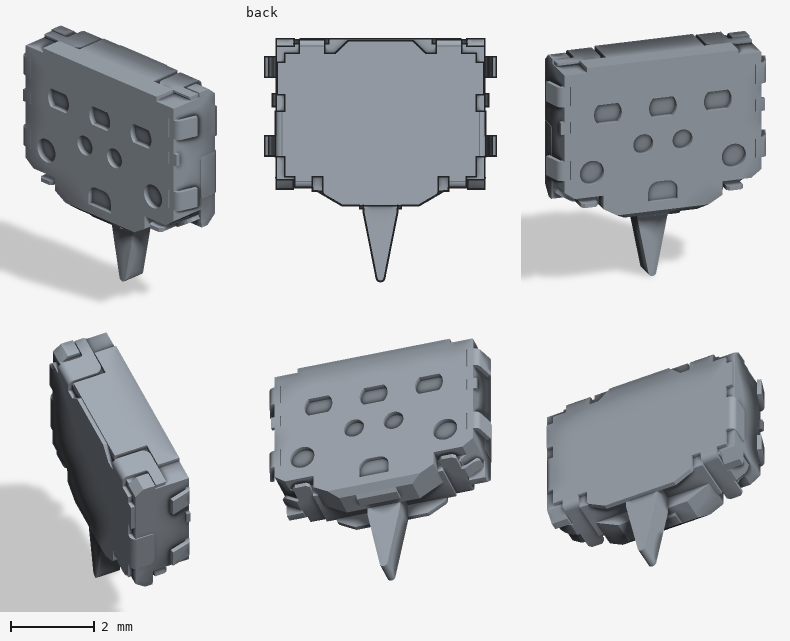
import cadquery as cq
import math


half_width = 2.5
housing_depth = 1.4
total_depth = 1.5
sheet = 0.1
corner_z = -3.115
shelf_x = 2.09
shelf_end_z = -3.42
front_shelf_z = -3.31
front_layer = 0.335
neck_x_front = 1.51
neck_x = 1.635
neck_z = -3.655
nose_x = 0.92
nose_z = -4.0
nose_chamfer_y = 0.165
nose_chamfer_z = 0.145
rear_block_y = 0.935
rear_block_z = -3.605
rear_taper_y, rear_taper_z = 0.02, 0.13
lower_rear_chamfer_y = 0.25
top_rear_chamfer_y = 0.21
lower_rear_chamfer_z = 0.22
top_rear_chamfer_z = 0.18

lever_y0, lever_y1 = 0.77, 1.38
lever_half_width = 0.41
lever_straight_z = -4.16
lever_tip_z = -5.82
lever_tip_radius = 0.1
step_half_width = 0.5
step_y0, step_y1 = 0.245, 0.53
step_taper = 0.025
step_z = -4.08

pocket_depth = 0.15
slot_pitch = 1.394
slot_z = -1.228
slot_diameter = 0.705
slot_height = 0.49
small_hole_x, small_hole_z, small_hole_diameter = 0.498, -2.115, 0.505
large_hole_x, large_hole_z, large_hole_diameter = 1.8, -2.69, 0.61
arch_half_width = 0.373
arch_top_z, arch_bottom_z = -3.115, -3.62
arch_radius = 0.25
arch_depth = 0.12

terminal_z_ranges = [(-0.93, -0.43), (-2.815, -2.325)]
terminal_tip_x = 2.78
terminal_tip_y = 0.56
terminal_lean = math.radians(16)
terminal_bend_radius = 0.16
tab_z0, tab_z1 = -1.63, -1.32
tab_x = 2.59
slit_x, slit_width, slit_depth = 2.345, 0.03, 0.05

cover_x = 2.3
cover_pad_x = 2.47
cover_top_z = -0.35
top_pad_z = -0.05
cover_neck_x = 1.39
cover_neck_radius = 0.13
cover_bottom_z = -3.31
pad_z0, pad_z1 = -1.35, -0.565
top_pad_half_width = 0.78
top_pad_slope = 0.31
clamp_x = 2.52
clamp_y = 0.915
clamp_z0, clamp_z1 = -2.83, -1.735
clamp_corner_radius = 0.08
bend_radius = 0.15

recess_depth = 0.125
front_notch_x = 1.92
recess_y = 0.56
recess_x0, recess_x1 = 1.245, 2.07
arm_recess_y = 0.88
clip_x0, clip_x1 = 1.335, 1.947
clip_z = -0.02
arm_y0, arm_y1 = 0.58, 0.85
arm_x = 2.47
arm_bevel_y, arm_bevel_z = 0.04, 0.05
clip_round = 0.2
arm_round = 0.07
arm_tip_round = 0.035

tongue_x1 = 2.05
tongue_z0 = -3.571
tongue_z1 = tongue_z0 + sheet
shelf_z = tongue_z1
tongue_chamfer = 0.07
hook_angle = math.radians(31)
hook_root_x = 2.12
hook_length = 0.45
hook_y0, hook_y1 = 0.52, 0.885
hook_chamfer = 0.12
hook_bevel = 0.05

overlap = 0.02


def box(x0, x1, y0, y1, z0, z1):
    return cq.Workplane("XY").box(x1 - x0, y1 - y0, z1 - z0, centered=False).translate((x0, y0, z0))


def slab(points, y0, y1):
    """Extrude an (x, z) outline from y0 to y1."""
    return cq.Workplane("XZ", origin=(0, y0, 0)).polyline(points).close().extrude(y0 - y1)


def plate(points, z0, z1):
    """Extrude an (x, y) outline from z0 to z1."""
    return cq.Workplane("XY", origin=(0, 0, z0)).polyline(points).close().extrude(z1 - z0)


def bar(points, x0, x1):
    """Extrude a (y, z) outline from x0 to x1."""
    return cq.Workplane("YZ", origin=(x0, 0, 0)).polyline(points).close().extrude(x1 - x0)


def both_sides(shape):
    return shape.union(shape.mirror("YZ"))


def symmetric(points):
    """Complete an outline given from the top centre to the bottom centre on the +X side."""
    return points + [(-x, z) for x, z in reversed(points)]


def housing():
    side = [(half_width, 0), (half_width, corner_z)]
    nose = [(neck_x_front, neck_z), (nose_x, nose_z)]
    chamfer_slope = (corner_z - shelf_end_z) / (half_width - shelf_x)
    front_shelf_x = half_width - (corner_z - front_shelf_z) / chamfer_slope
    front_outline = side + [(front_shelf_x, front_shelf_z), (neck_x_front, front_shelf_z)] + nose
    shelf = [(shelf_x, shelf_z), (neck_x, shelf_z), (neck_x, neck_z)]
    middle_outline = side + [(shelf_x, shelf_end_z)] + shelf + nose
    rear_outline = [
        (half_width, 0),
        (half_width, rear_block_z),
        (shelf_x, rear_block_z),
    ] + shelf
    body = slab(symmetric(front_outline), 0, front_layer)
    body = body.union(slab(symmetric(middle_outline), front_layer, rear_block_y))
    body = body.union(slab(symmetric(rear_outline), rear_block_y, housing_depth))
    lever_slot = box(-half_width, half_width, lever_y0, housing_depth, nose_z, neck_z)
    body = body.cut(lever_slot)

    nose_chamfer = bar(
        [(0, nose_z), (nose_chamfer_y, nose_z), (0, nose_z + nose_chamfer_z)], -half_width, half_width
    )
    lower_chamfer = bar(
        [
            (housing_depth, rear_block_z),
            (housing_depth, rear_block_z + lower_rear_chamfer_z),
            (housing_depth - lower_rear_chamfer_y, rear_block_z),
        ],
        shelf_x, half_width,
    )
    top_chamfer = bar(
        [(housing_depth, 0), (housing_depth, -top_rear_chamfer_z), (housing_depth - top_rear_chamfer_y, 0)],
        recess_x1, half_width,
    )
    rear_taper = bar(
        [
            (rear_block_y, rear_block_z),
            (rear_block_y, rear_block_z + rear_taper_z),
            (rear_block_y + rear_taper_y, rear_block_z),
        ],
        shelf_x, half_width,
    )
    body = body.cut(nose_chamfer).cut(both_sides(rear_taper))
    return body.cut(both_sides(lower_chamfer)).cut(both_sides(top_chamfer))


def top_recesses():
    notch = box(front_notch_x, half_width, 0, recess_y, -recess_depth, 0)
    stem = box(recess_x0, recess_x1, recess_y, housing_depth, -recess_depth, 0)
    arm = box(recess_x0, half_width, recess_y, arm_recess_y, -recess_depth, 0)
    return both_sides(notch.union(stem).union(arm))


def front_pockets():
    front = cq.Workplane("XZ")
    slots = front.pushPoints([(i * slot_pitch, slot_z) for i in (-1, 0, 1)])
    slots = slots.circle(slot_diameter / 2).extrude(-pocket_depth)
    slot_limit = box(
        -half_width, half_width, 0, pocket_depth, slot_z - slot_height / 2, slot_z + slot_height / 2
    )
    pockets = slots.intersect(slot_limit)
    for x, z, diameter in (
        (small_hole_x, small_hole_z, small_hole_diameter),
        (large_hole_x, large_hole_z, large_hole_diameter),
    ):
        holes = front.pushPoints([(-x, z), (x, z)]).circle(diameter / 2).extrude(-pocket_depth)
        pockets = pockets.union(holes)
    arch = box(-arch_half_width, arch_half_width, 0, arch_depth, arch_bottom_z, arch_top_z)
    arch = arch.edges("|Y and >Z").fillet(arch_radius)
    return pockets.union(arch)


def slits():
    cuts = cq.Workplane("XY")
    for z0, z1 in terminal_z_ranges + [(tab_z0, tab_z1)]:
        cuts = cuts.add(box(slit_x - slit_width / 2, slit_x + slit_width / 2, 0, slit_depth, z0, z1))
    return both_sides(cuts.combine())


def terminal(z0, z1):
    """Flat lead leaving the housing at the front face and bent back along its side."""
    root_x = half_width - overlap
    lean_x = math.sin(terminal_lean)
    lean_y = math.cos(terminal_lean)
    outer_tip_y = terminal_tip_y - sheet * lean_x
    inner_tip_x = terminal_tip_x - sheet * lean_y
    outer_corner_x = terminal_tip_x - outer_tip_y * math.tan(terminal_lean)
    inner_corner_x = inner_tip_x - (terminal_tip_y - sheet) * math.tan(terminal_lean)
    lead = plate(
        [
            (root_x, 0),
            (outer_corner_x, 0),
            (terminal_tip_x, outer_tip_y),
            (inner_tip_x, terminal_tip_y),
            (inner_corner_x, sheet),
            (root_x, sheet),
        ],
        z0, z1,
    )
    middle_z = (z0 + z1) / 2
    outer_corner = cq.selectors.NearestToPointSelector((outer_corner_x, 0, middle_z))
    inner_corner = cq.selectors.NearestToPointSelector((inner_corner_x, sheet, middle_z))
    lead = lead.edges(outer_corner).fillet(terminal_bend_radius)
    return lead.edges(inner_corner).fillet(terminal_bend_radius - sheet)


def terminals_and_tabs():
    side = box(half_width - overlap, tab_x, 0, sheet, tab_z0, tab_z1)
    for z0, z1 in terminal_z_ranges:
        side = side.union(terminal(z0, z1))
    return both_sides(side)


def cover():
    nose_slope = (neck_z - nose_z) / (neck_x_front - nose_x)
    cover_neck_z = neck_z - (neck_x_front - cover_neck_x) * nose_slope
    outline = [
        (top_pad_half_width, top_pad_z),
        (top_pad_half_width + top_pad_slope, cover_top_z),
        (cover_x, cover_top_z),
        (cover_x, pad_z1),
        (cover_pad_x, pad_z1),
        (cover_pad_x, pad_z0),
        (cover_x, pad_z0),
        (cover_x, cover_bottom_z),
        (cover_neck_x, cover_bottom_z),
        (cover_neck_x, cover_neck_z),
        (nose_x, nose_z),
    ]
    sheet_plate = slab(symmetric(outline), housing_depth - overlap, total_depth)
    middle_y = (housing_depth + total_depth) / 2
    for x in (-cover_neck_x, cover_neck_x):
        neck_corner = cq.selectors.NearestToPointSelector((x, middle_y, cover_neck_z))
        sheet_plate = sheet_plate.edges(neck_corner).fillet(cover_neck_radius)
    return sheet_plate


def side_clamps():
    """Ears of the cover folded forward over the sides of the housing."""
    ear = box(clamp_x - sheet, clamp_x, clamp_y, total_depth, clamp_z0, clamp_z1)
    ear = ear.edges("|X and <Y").fillet(clamp_corner_radius)
    bridge = box(cover_x - sheet, clamp_x, total_depth - sheet, total_depth, clamp_z0, clamp_z1)
    ear = ear.union(bridge)
    return both_sides(ear.edges("|Z and >X and >Y").fillet(bend_radius))


def top_clips():
    """Ears of the cover folded over the top face, each with an arm reaching outwards."""
    stem = plate(
        [
            (clip_x0, total_depth),
            (clip_x0, arm_y0),
            (arm_x, arm_y0),
            (arm_x, arm_y1),
            (clip_x1, arm_y1),
            (clip_x1, total_depth),
        ],
        -recess_depth, clip_z,
    )
    middle_z = (clip_z - recess_depth) / 2
    for x, y, radius in (
        (clip_x0, arm_y0, clip_round),
        (clip_x1, arm_y1, arm_round),
        (arm_x, arm_y0, arm_tip_round),
    ):
        stem = stem.edges(cq.selectors.NearestToPointSelector((x, y, middle_z))).fillet(radius)
    arm_bevel = bar(
        [
            (arm_y0, -recess_depth),
            (arm_y0, -recess_depth + arm_bevel_z),
            (arm_y0 + arm_bevel_y, -recess_depth),
        ],
        front_notch_x, arm_x,
    )
    stem = stem.cut(arm_bevel)
    bridge = box(clip_x0, clip_x1, housing_depth, total_depth, cover_top_z - sheet, clip_z)
    clip = stem.union(bridge)
    return both_sides(clip.edges("|X and >Y and >Z").fillet(bend_radius))


def bottom_clips():
    """Ears of the cover folded under the housing, each with a tongue and a slanted hook."""
    tongue = box(neck_x, tongue_x1, 0, total_depth, tongue_z0, tongue_z1)
    tongue = tongue.edges("|Z and <Y").chamfer(tongue_chamfer)
    bridge = box(neck_x, tongue_x1, housing_depth - overlap, total_depth, tongue_z0, cover_bottom_z + sheet)
    tongue = tongue.union(bridge)
    tongue = tongue.edges("|X and >Y and <Z").fillet(bend_radius)

    along_x = math.cos(hook_angle)
    along_z = math.sin(hook_angle)
    lower_tip = (hook_root_x + hook_length * along_x, tongue_z0 + hook_length * along_z)
    upper_tip = (lower_tip[0] - sheet * along_z, lower_tip[1] + sheet * along_x)
    hook = slab(
        [
            (tongue_x1 - overlap, tongue_z0),
            (hook_root_x, tongue_z0),
            lower_tip,
            upper_tip,
            (tongue_x1, tongue_z1),
            (tongue_x1 - overlap, tongue_z1),
        ],
        hook_y0, hook_y1,
    )
    tip = ((lower_tip[0] + upper_tip[0]) / 2, hook_y0, (lower_tip[1] + upper_tip[1]) / 2)
    hook = hook.edges(cq.selectors.NearestToPointSelector(tip)).chamfer(hook_chamfer)
    inner_edge = cq.selectors.BoxSelector(
        (tongue_x1 + overlap, hook_y0 - overlap, tongue_z1),
        (lower_tip[0], hook_y0 + overlap, upper_tip[1]),
    )
    hook = hook.edges(inner_edge).chamfer(hook_bevel)
    return both_sides(tongue.union(hook))


def lever():
    straight_end = (lever_half_width, lever_straight_z)
    tip_centre_z = lever_tip_z + lever_tip_radius
    drop = tip_centre_z - lever_straight_z
    distance = math.hypot(lever_half_width, drop)
    tangent_angle = math.atan2(-drop, lever_half_width) - math.acos(lever_tip_radius / distance)
    tangent = (
        lever_tip_radius * math.cos(tangent_angle),
        tip_centre_z + lever_tip_radius * math.sin(tangent_angle),
    )
    return (
        cq.Workplane("XZ", origin=(0, lever_y0, 0))
        .moveTo(-lever_half_width, neck_z + overlap)
        .lineTo(lever_half_width, neck_z + overlap)
        .lineTo(*straight_end)
        .lineTo(*tangent)
        .threePointArc((0, lever_tip_z), (-tangent[0], tangent[1]))
        .lineTo(-lever_half_width, lever_straight_z)
        .close()
        .extrude(lever_y0 - lever_y1)
    )


def nose_step():
    outline = [
        (nose_chamfer_y, nose_z + overlap),
        (nose_chamfer_y, nose_z),
        (step_y0, step_z),
        (step_y1, step_z),
        (step_y1 + step_taper, nose_z),
        (step_y1 + step_taper, nose_z + overlap),
    ]
    return bar(outline, -step_half_width, step_half_width)


result = housing().cut(top_recesses()).cut(front_pockets()).cut(slits())
for piece in (
    cover(), side_clamps(), top_clips(), bottom_clips(), terminals_and_tabs(), lever(), nose_step()
):
    result = result.union(piece)